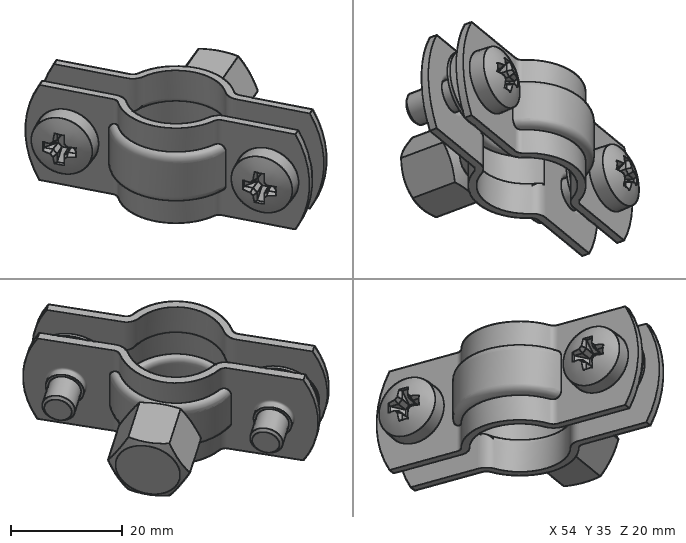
import cadquery as cq
import math


strap_width = 20.0
strap_length = 54.0
strap_thickness = 1.5
strap_end_radius = 20.0
clamp_gap = 6.0
pipe_radius = 9.0
bend_radius = 1.5

flange_inner_y = clamp_gap / 2
flange_outer_y = flange_inner_y + strap_thickness
ring_outer_radius = pipe_radius + strap_thickness

bead_radius = ring_outer_radius + strap_thickness
bead_width = 10.0
bead_fillet = strap_thickness
groove_width = 6.2
groove_rim_fillet = 1.1

screw_spacing = 38.0
screw_positions = (-screw_spacing / 2, screw_spacing / 2)
screw_diameter = 6.0
screw_tip_y = 11.5
screw_tip_chamfer = 0.5
head_base_radius = 5.95
head_rim_radius = 5.8
head_side_bulge = 0.05
head_side_height = 2.9
head_height = 4.7

recess_depth = 3.6
recess_wall_depth = 1.2
recess_half_length = 3.15
recess_top_half_width = 1.15
recess_top_corner = 1.6
recess_wall_half_width = 0.65
recess_wall_corner = 1.45
recess_floor_half_length = 1.35
recess_floor_half_width = 0.6
recess_floor_corner = 1.34

washer_diameter = 14.0
washer_thickness = 0.6
washer_top_y = -0.4

collar_diameter = 7.0
collar_height = 1.5
collar_root_fillet = 0.4
hole_entry_fillet = 1.0

hex_across_flats = 13.0
hex_corner_radius = hex_across_flats / math.sqrt(3)
hex_end_y = 23.0
hex_end_chamfer_radius = 5.9
hex_end_chamfer_angle = 30.0
hex_root_y = 11.5
hex_root_radius = 4.0
hex_root_angle = 23.0


def y_cylinder(diameter, start_y, end_y):
    """Cylinder on the Y axis between two Y positions."""
    plane = cq.Workplane("XZ", origin=(0, end_y, 0))
    return plane.circle(diameter / 2).extrude(end_y - start_y)


def revolve_about_y(profile):
    """Full turn about the Y axis of a profile drawn in the XY plane."""
    return profile.revolve(360, (0, 0, 0), (0, 1, 0))


def make_strap_plate():
    """Bent strap of constant thickness on the -Y side, with rounded ends."""
    bend_y = -flange_outer_y - bend_radius
    bend_x = math.sqrt((ring_outer_radius + bend_radius) ** 2 - bend_y**2)
    bend_distance = math.hypot(bend_x, bend_y)
    to_ring = (-bend_x / bend_distance, -bend_y / bend_distance)
    half_turn = math.hypot(to_ring[0], to_ring[1] + 1)
    to_middle = (to_ring[0] / half_turn, (to_ring[1] + 1) / half_turn)

    def bend_point(direction, radius, side):
        x = bend_x + radius * direction[0]
        return (side * x, bend_y + radius * direction[1])

    outside = bend_radius
    inside = bend_radius + strap_thickness
    end_x = strap_length / 2
    section = (
        cq.Workplane("XY", origin=(0, 0, -strap_width / 2))
        .moveTo(-end_x, -flange_inner_y)
        .lineTo(-bend_x, -flange_inner_y)
        .threePointArc(bend_point(to_middle, inside, -1), bend_point(to_ring, inside, -1))
        .threePointArc((0, -pipe_radius), bend_point(to_ring, inside, 1))
        .threePointArc(bend_point(to_middle, inside, 1), (bend_x, -flange_inner_y))
        .lineTo(end_x, -flange_inner_y)
        .lineTo(end_x, -flange_outer_y)
        .lineTo(bend_x, -flange_outer_y)
        .threePointArc(bend_point(to_middle, outside, 1), bend_point(to_ring, outside, 1))
        .threePointArc((0, -ring_outer_radius), bend_point(to_ring, outside, -1))
        .threePointArc(bend_point(to_middle, outside, -1), (-bend_x, -flange_outer_y))
        .lineTo(-end_x, -flange_outer_y)
        .close()
        .extrude(strap_width)
    )

    half_width = strap_width / 2
    end_sagitta = strap_end_radius - math.sqrt(strap_end_radius**2 - half_width**2)
    corner_x = end_x - end_sagitta
    outline = (
        cq.Workplane("XZ")
        .moveTo(-corner_x, -half_width)
        .lineTo(corner_x, -half_width)
        .threePointArc((end_x, 0), (corner_x, half_width))
        .lineTo(-corner_x, half_width)
        .threePointArc((-end_x, 0), (-corner_x, -half_width))
        .close()
        .extrude(bead_radius)
    )
    return section.intersect(outline)


def make_groove():
    """Ring-shaped tool for the inner groove, with rims rounded into the pipe bore."""
    half_width = groove_width / 2
    rim_half_width = half_width + groove_rim_fillet
    rim_top_radius = pipe_radius + groove_rim_fillet
    arc_offset = groove_rim_fillet * (1 - math.sqrt(0.5))
    arc_radius = pipe_radius + arc_offset
    arc_z = half_width + arc_offset
    return (
        cq.Workplane("XZ")
        .moveTo(0, -rim_half_width)
        .lineTo(pipe_radius, -rim_half_width)
        .threePointArc((arc_radius, -arc_z), (rim_top_radius, -half_width))
        .lineTo(ring_outer_radius, -half_width)
        .lineTo(ring_outer_radius, half_width)
        .lineTo(rim_top_radius, half_width)
        .threePointArc((arc_radius, arc_z), (pipe_radius, rim_half_width))
        .lineTo(0, rim_half_width)
        .close()
        .revolve(360, (0, 0, 0), (0, 1, 0))
    )


def make_strap():
    """Strap with the bead pressed outward, leaving a groove on the inside."""
    bead = cq.Workplane("XY").circle(bead_radius).extrude(bead_width / 2, both=True)
    bead = bead.edges().fillet(bead_fillet)
    pipe = cq.Workplane("XY").circle(pipe_radius).extrude(bead_width, both=True)
    ring_side = (
        cq.Workplane("XY", origin=(0, -flange_outer_y, 0))
        .rect(strap_length, 2 * bead_radius)
        .extrude(bead_width, both=True)
        .translate((0, -bead_radius, 0))
    )
    bead = bead.cut(pipe).intersect(ring_side)
    return make_strap_plate().union(bead).cut(make_groove())


def cross_points(half_length, half_width, corner):
    """Corner points of a cross whose inner corners are bevelled."""
    quadrant = [
        (half_length, half_width),
        (corner, half_width),
        (half_width, corner),
        (half_width, half_length),
    ]
    points = []
    for _ in range(4):
        points += quadrant
        quadrant = [(-v, u) for u, v in quadrant]
    return points


def make_recess():
    """Cross recess: tapered side walls, upright ends, then arms sloping down to the middle."""
    top = cross_points(recess_half_length, recess_top_half_width, recess_top_corner)
    wall = cross_points(recess_half_length, recess_wall_half_width, recess_wall_corner)
    floor = cross_points(recess_floor_half_length, recess_floor_half_width, recess_floor_corner)
    floor_y = -flange_outer_y - head_height + recess_depth
    return (
        cq.Workplane("XZ", origin=(0, floor_y, 0))
        .polyline(floor)
        .close()
        .workplane(offset=recess_depth - recess_wall_depth)
        .polyline(wall)
        .close()
        .workplane(offset=recess_wall_depth)
        .polyline(top)
        .close()
        .loft(ruled=True)
    )


def make_screw():
    """Domed screw with its washer, on the Y axis."""
    rim_y = -flange_outer_y - head_side_height
    top_y = -flange_outer_y - head_height
    side_middle = (
        (head_base_radius + head_rim_radius) / 2 + head_side_bulge,
        (rim_y - flange_outer_y) / 2,
    )
    dome_height = top_y - rim_y
    dome_radius = (head_rim_radius**2 + dome_height**2) / (2 * abs(dome_height))
    dome_x = head_rim_radius / 2
    dome_y = top_y + dome_radius - math.sqrt(dome_radius**2 - dome_x**2)
    head = revolve_about_y(
        cq.Workplane("XY")
        .moveTo(0, -flange_outer_y)
        .lineTo(head_base_radius, -flange_outer_y)
        .threePointArc(side_middle, (head_rim_radius, rim_y))
        .threePointArc((dome_x, dome_y), (0, top_y))
        .close()
    )
    shank = y_cylinder(screw_diameter, -flange_outer_y, screw_tip_y)
    shank = shank.faces(">Y").chamfer(screw_tip_chamfer)
    washer = y_cylinder(washer_diameter, washer_top_y - washer_thickness, washer_top_y)
    return head.cut(make_recess()).union(shank).union(washer)


def make_collar():
    """Short collar rising from the rear flange with a concave root fillet."""
    radius = collar_diameter / 2
    fillet_top_y = flange_outer_y + collar_root_fillet
    arc_offset = collar_root_fillet * (1 - math.sqrt(0.5))
    return revolve_about_y(
        cq.Workplane("XY")
        .moveTo(0, flange_inner_y)
        .lineTo(radius + collar_root_fillet, flange_inner_y)
        .lineTo(radius + collar_root_fillet, flange_outer_y)
        .threePointArc((radius + arc_offset, flange_outer_y + arc_offset), (radius, fillet_top_y))
        .lineTo(radius, flange_outer_y + collar_height)
        .lineTo(0, flange_outer_y + collar_height)
        .close()
    )


def make_hole_entry():
    """Rounded mouth of a rear flange hole, flaring toward the gap."""
    radius = screw_diameter / 2
    mouth_radius = radius + hole_entry_fillet
    arc_offset = hole_entry_fillet * (1 - math.sqrt(0.5))
    return revolve_about_y(
        cq.Workplane("XY")
        .moveTo(0, flange_inner_y)
        .lineTo(mouth_radius, flange_inner_y)
        .threePointArc(
            (radius + arc_offset, flange_inner_y + arc_offset),
            (radius, flange_inner_y + hole_entry_fillet),
        )
        .lineTo(0, flange_inner_y + hole_entry_fillet)
        .close()
    )


def make_hex_boss():
    """Hexagonal boss, coned at both ends, standing on the rear bead."""
    hexagon = (
        cq.Workplane("XZ", origin=(0, hex_end_y, 0))
        .polygon(6, 2 * hex_corner_radius)
        .extrude(hex_end_y - hex_root_y)
    )
    root_rise = (hex_corner_radius - hex_root_radius) * math.tan(math.radians(hex_root_angle))
    end_drop = (hex_corner_radius - hex_end_chamfer_radius) * math.tan(
        math.radians(hex_end_chamfer_angle)
    )
    envelope = revolve_about_y(
        cq.Workplane("XY")
        .moveTo(0, hex_root_y)
        .lineTo(hex_root_radius, hex_root_y)
        .lineTo(hex_corner_radius, hex_root_y + root_rise)
        .lineTo(hex_corner_radius, hex_end_y - end_drop)
        .lineTo(hex_end_chamfer_radius, hex_end_y)
        .lineTo(0, hex_end_y)
        .close()
    )
    return hexagon.intersect(envelope)


def make_rear_strap(front_strap):
    """Mirrored strap with the boss and the two flared, collared screw holes."""
    strap = front_strap.mirror("XZ").union(make_hex_boss())
    for x in screw_positions:
        strap = strap.union(make_collar().translate((x, 0, 0)))
        strap = strap.cut(make_hole_entry().translate((x, 0, 0)))
    return strap


front_strap = make_strap()
result = make_rear_strap(front_strap).union(front_strap)
for x in screw_positions:
    result = result.union(make_screw().translate((x, 0, 0)))